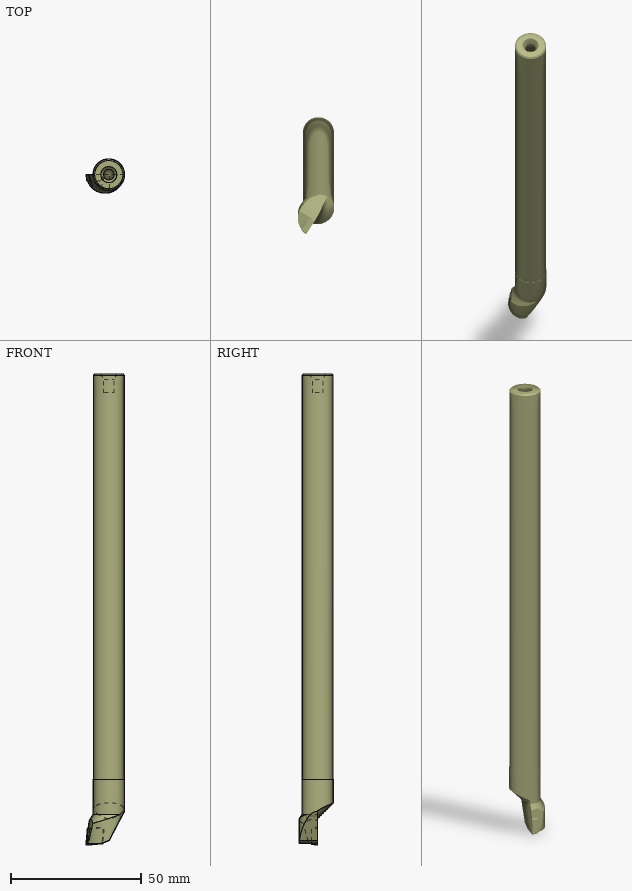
import cadquery as cq
import math

total_length = 181.2
overall_width = 14.9
overall_depth = 13.2
shank_diameter = 12.0
neck_diameter = 12.1
shank_radius = shank_diameter / 2
neck_radius = neck_diameter / 2
neck_top = 25.2
end_chamfer = 0.5

bore_diameter = 4.0
bore_mouth_diameter = 6.2
bore_mouth_depth = 2.2
bore_depth = 7.2

head_radius = overall_depth - neck_radius
head_offset = 1.5
head_bottom = 0.7
flare_top = 11.8
flare_angle = 58.0
ramp_top = 16.3
ramp_apex_y = -4.5

clearance_top = 13.0
clearance_shoulder_x = 5.0
clearance_shoulder_z = 11.2
clearance_foot_x = 0.2
clearance_foot_z = 1.8
clearance_heel_x = -2.5

relief_x = -8.9
relief_slope_y = 0.28
relief_slope_z = 0.14

tip_x = neck_radius - overall_width
insert_edge = 6.5
insert_thickness = 2.4
insert_tip_angle = 80.0
insert_lead_angle = 5.0
insert_flank_angle = 7.0
insert_corner_radius = 0.4

margin = 18.1


def make_shank():
    shank = (
        cq.Workplane("XY", origin=(0, 0, neck_top))
        .circle(shank_radius)
        .extrude(total_length - neck_top)
        .faces(">Z")
        .chamfer(end_chamfer)
    )
    mouth_radius = bore_mouth_diameter / 2
    bore_radius = bore_diameter / 2
    bore = (
        cq.Workplane("XZ")
        .moveTo(0, total_length)
        .lineTo(mouth_radius, total_length)
        .lineTo(bore_radius, total_length - bore_mouth_depth)
        .lineTo(bore_radius, total_length - bore_depth)
        .lineTo(0, total_length - bore_depth)
        .close()
        .revolve(360, (0, 0, 0), (0, 1, 0))
    )
    return shank.cut(bore)


def make_neck_and_head():
    neck = (
        cq.Workplane("XY", origin=(0, 0, head_bottom))
        .circle(neck_radius)
        .extrude(neck_top - head_bottom)
    )
    flare_base_radius = neck_radius + (flare_top - head_bottom) / math.tan(math.radians(flare_angle))
    flare = (
        cq.Workplane("XZ")
        .moveTo(0, head_bottom)
        .lineTo(flare_base_radius, head_bottom)
        .lineTo(neck_radius, flare_top)
        .lineTo(0, flare_top)
        .close()
        .revolve(360, (0, 0, 0), (0, 1, 0))
    )
    head = (
        cq.Workplane("XY", origin=(-head_offset, 0, head_bottom))
        .circle(head_radius)
        .extrude(flare_top - head_bottom)
        .intersect(flare)
    )
    return neck.union(head)


def make_rake_side_cut():
    cone_height = 2 * margin
    apex_z = ramp_top - (neck_radius - ramp_apex_y)
    ramp_cone = cq.Workplane(
        cq.Solid.makeCone(0, cone_height, cone_height, pnt=cq.Vector(0, ramp_apex_y, apex_z))
    )
    return (
        cq.Workplane("XY", origin=(0, 0, head_bottom))
        .rect(2 * margin, 2 * margin)
        .extrude(ramp_top)
        .translate((0, margin, 0))
        .cut(ramp_cone)
    )


def make_clearance_cut():
    return (
        cq.Workplane("XZ")
        .polyline([
            (neck_radius, clearance_top),
            (clearance_shoulder_x, clearance_shoulder_z),
            (clearance_foot_x, clearance_foot_z),
            (clearance_heel_x, head_bottom),
            (clearance_heel_x, -margin),
            (margin, -margin),
            (margin, clearance_top),
        ])
        .close()
        .extrude(margin, both=True)
    )


def make_relief_cut():
    outward = (-1, -relief_slope_y, relief_slope_z)
    along_plane = (0, relief_slope_z, relief_slope_y)
    relief_plane = cq.Plane(origin=(relief_x, 0, 0), xDir=along_plane, normal=outward)
    outer_side = cq.Workplane(relief_plane).rect(4 * margin, 4 * margin).extrude(margin)
    head_zone = (
        cq.Workplane("XY", origin=(0, 0, flare_top))
        .rect(2 * margin, 2 * margin)
        .extrude(-margin)
    )
    return outer_side.intersect(head_zone)


def make_insert():
    def edge_end(angle):
        direction = math.radians(angle)
        return insert_edge * math.cos(direction), insert_edge * math.sin(direction)

    foot_x, foot_z = edge_end(insert_lead_angle)
    side_x, side_z = edge_end(insert_lead_angle + insert_tip_angle)
    bisector = math.radians(insert_lead_angle + insert_tip_angle / 2)
    corner_reach = insert_corner_radius / math.sin(math.radians(insert_tip_angle / 2))
    corner_x = tip_x + insert_corner_radius - corner_reach * math.cos(bisector)
    corner_z = insert_corner_radius - corner_reach * math.sin(bisector)
    rhombus = [
        (0, 0),
        (foot_x, foot_z),
        (foot_x + side_x, foot_z + side_z),
        (side_x, side_z),
    ]
    outline = (
        cq.Workplane("XZ", origin=(corner_x, 0, corner_z))
        .polyline(rhombus)
        .close()
    )
    insert_body = outline.extrude(insert_thickness, taper=insert_flank_angle)
    flank_corners = insert_body.edges("not #Y")
    return flank_corners.fillet(insert_corner_radius)


insert = make_insert()
bar = (
    make_shank()
    .union(make_neck_and_head())
    .cut(make_rake_side_cut())
    .cut(make_clearance_cut())
    .cut(make_relief_cut())
    .cut(insert)
)

result = cq.Compound.makeCompound([*bar.solids().vals(), insert.val()])